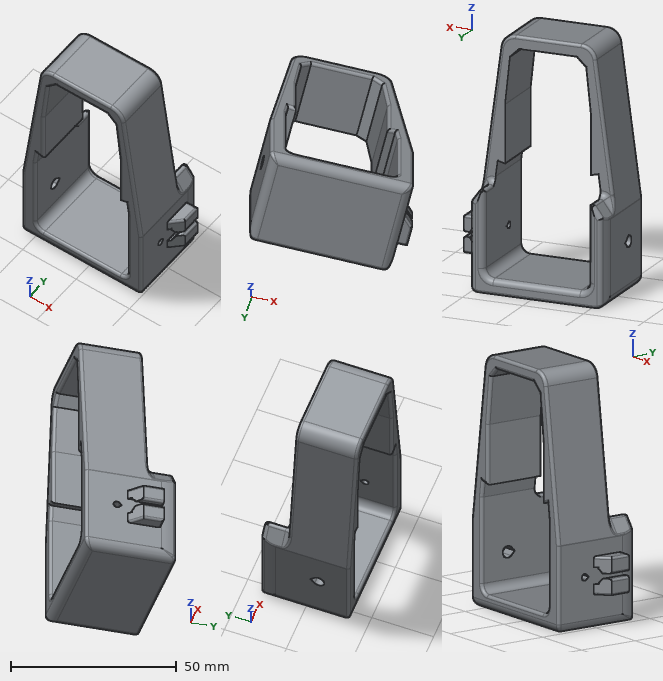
import cadquery as cq
import math

height = 80.2
overall_width = 48.5
depth = 28.9
arch_depth = 20.0
half_width = 22.3
wall = 5.0
rim_radius = 1.0
base_radius = 3.0
margin = 4.0
tolerance = 0.1

shoulder_z = 27.5
top_half_width = 15.15
top_corner_radius = 5.0
lean = (half_width - top_half_width) / (height - shoulder_z)

inner_half_width = half_width - wall
inner_shoulder_z = 34.8
catch_root_z = 39.8
catch_tip_z = 39.1
catch_half_width = 14.2
catch_top_z = 58.1
haunch_half_width = 12.6
haunch_z = 73.2
ceiling_half_width = 9.55
ceiling_z = 76.1

bevel_z = 27.9
bevel_rise = 6.7
ridge_radius = 1.0
bevel_angle = math.atan(bevel_rise / wall)
ridge_tangent = ridge_radius * math.tan(math.pi / 4 + bevel_angle / 2)
ridge_arc_z = bevel_z + bevel_rise - ridge_tangent
step_radius = 2.0
rear_corner_radius = 12.0
rear_corner_length = 5.0
rear_edge_radius = 1.6
rear_inner_radius = 1.9
bevel_rear_radius = 1.6

hole_y = 9.95
hole_z = 16.4
left_hole_radius = 1.85
right_hole_radius = 1.05

hook_reach = overall_width - 2 * half_width
hook_outer = 6.0
hook_neck = 2.65
hook_lip = 0.8
hook_neck_length = 0.8
hook_lip_start = 1.9
hook_front_y = 13.3
hook_rear_y = 23.65
hook_radius = 0.7


def mirrored(points):
    """Close a right-hand outline with its mirror image about X = 0."""
    return points + [(-x, z) for x, z in reversed(points)]


def prism_y(points, start, end):
    """Extrude an XZ outline from Y = start to Y = end."""
    return (
        cq.Workplane("XZ", origin=(0, start, 0))
        .polyline(points)
        .close()
        .extrude(start - end)
    )


def edges_where(body, test):
    """Select the edges whose bounding box and center pass a test."""
    return body.newObject([e for e in body.edges().vals() if test(e.BoundingBox(), e.Center())])


def inner_edges(body, face):
    """Select the edges around the holes in a face of a body."""
    wires = body.faces(face).val().innerWires()
    return body.newObject([edge for wire in wires for edge in wire.Edges()])


def plan_limit():
    """Plan outline with the curved rear corners."""
    angle = math.asin(rear_corner_length / rear_corner_radius)
    curve_y = depth - rear_corner_length
    middle_y = curve_y + rear_corner_radius * math.sin(angle / 2)
    middle_x = half_width - rear_corner_radius * (1 - math.cos(angle / 2))
    end_x = half_width - rear_corner_radius * (1 - math.cos(angle))
    return (
        cq.Workplane("XY")
        .moveTo(-half_width, 0)
        .lineTo(half_width, 0)
        .lineTo(half_width, curve_y)
        .threePointArc((middle_x, middle_y), (end_x, depth))
        .lineTo(-end_x, depth)
        .threePointArc((-middle_x, middle_y), (-half_width, curve_y))
        .close()
        .extrude(height)
        .edges("|Z and >Y")
        .fillet(rear_edge_radius)
    )


def outer_block():
    outline = mirrored([(half_width, 0), (half_width, shoulder_z), (top_half_width, height)])
    block = prism_y(outline, 0, depth).edges("|Y and >Z").fillet(top_corner_radius)
    block = block.faces("<Z").edges("<X or >X or <Y").fillet(base_radius)
    block = block.intersect(plan_limit())
    return block.faces("<Y").edges("not <Z").fillet(rim_radius)


def opening():
    root_half_width = inner_half_width - lean * (catch_root_z - inner_shoulder_z)
    outline = mirrored([
        (inner_half_width, wall),
        (inner_half_width, inner_shoulder_z),
        (root_half_width, catch_root_z),
        (catch_half_width, catch_tip_z),
        (catch_half_width, catch_top_z),
        (haunch_half_width, haunch_z),
        (ceiling_half_width, ceiling_z),
    ])
    return prism_y(outline, 0, depth).edges("|Y and <Z").fillet(base_radius)


def above_bevels(start, end):
    """Space above the planes of the two bevels, which meet at X = 0."""
    slope = math.tan(bevel_angle)
    reach = half_width + margin
    side = [(reach, bevel_z - slope * margin), (reach, height + margin)]
    peak = (0, bevel_z + slope * half_width)
    return prism_y(mirrored(side) + [peak], start, end)


def step_cut():
    """Space behind the arch and above the low rear walls, with rounded ridges on the walls."""
    center_x = inner_half_width + ridge_radius
    arc_start = (
        inner_half_width + ridge_tangent * math.cos(bevel_angle),
        bevel_z + bevel_rise - ridge_tangent * math.sin(bevel_angle),
    )
    middle = 3 * math.pi / 4 - bevel_angle / 2
    arc_middle = (
        center_x + ridge_radius * math.cos(middle),
        ridge_arc_z + ridge_radius * math.sin(middle),
    )
    bottom_z = ridge_arc_z - 2 * margin
    reach = half_width + margin
    right_half = (
        cq.Workplane("XZ", origin=(0, arch_depth, 0))
        .moveTo(0, height + margin)
        .lineTo(reach, height + margin)
        .lineTo(reach, bevel_z - margin * math.tan(bevel_angle))
        .lineTo(*arc_start)
        .threePointArc(arc_middle, (inner_half_width, ridge_arc_z))
        .lineTo(inner_half_width, bottom_z)
        .lineTo(0, bottom_z)
        .close()
        .extrude(-depth)
    )
    cut = right_half.union(right_half.mirror("YZ"))
    return cut.faces("<Y").edges().fillet(step_radius)


def is_rear_rim(box, center):
    """Rear outer edges: around the arch, down the step, and around the base."""
    on_arch = box.ymin > arch_depth - tolerance and box.ymax < arch_depth + tolerance
    if on_arch:
        return box.zmax > haunch_z
    if box.ymin < arch_depth - tolerance:
        return False
    on_side = abs(center.x) > half_width - wall / 3 and box.zmax < inner_shoulder_z
    return on_side or box.zmax < base_radius + tolerance


def flared(tool, radius):
    """Widen the rear end of a cutting tool so that it rounds the rim it cuts in the rear face."""
    size = 4 * height
    plate = cq.Workplane("XY").box(size, margin, size).translate((0, depth + margin / 2, 0))
    return inner_edges(tool.union(plate), "<Y[1]").fillet(radius)


def rear_opening():
    """Rear end of the opening, between the low walls."""
    outline = mirrored([(inner_half_width, wall), (inner_half_width, height)])
    return prism_y(outline, depth - margin, depth).edges("|Y and <Z").fillet(base_radius)


def ridge_end_cut():
    """Round the rear ends of both ridges as seen along X."""
    ridge_top = ridge_arc_z + ridge_radius
    radius = bevel_rear_radius
    center_y = depth - radius
    center_z = ridge_top - radius
    diagonal = radius / math.sqrt(2)
    return (
        cq.Workplane("YZ", origin=(-half_width, 0, 0))
        .moveTo(center_y, ridge_top)
        .threePointArc((center_y + diagonal, center_z + diagonal), (depth, center_z))
        .lineTo(depth + margin, center_z)
        .lineTo(depth + margin, ridge_top + margin)
        .lineTo(center_y, ridge_top + margin)
        .close()
        .extrude(2 * half_width)
    )


def teardrop_hole(radius, wall_x):
    """Hole through the side wall that starts at wall_x, with its point toward the rear."""
    corner = radius / math.sqrt(2)
    return (
        cq.Workplane("YZ", origin=(wall_x, 0, 0))
        .moveTo(hole_y + corner, hole_z + corner)
        .threePointArc((hole_y - radius, hole_z), (hole_y + corner, hole_z - corner))
        .lineTo(hole_y + 2 * corner, hole_z)
        .close()
        .extrude(wall)
    )


def upper_hook():
    """Hook above the holes; its front is cut back at 45 degrees."""
    tip_x = half_width + hook_reach
    hook = prism_y([
        (half_width, hole_z + hook_outer),
        (tip_x, hole_z + hook_outer),
        (tip_x, hole_z + hook_lip),
        (half_width + hook_lip_start, hole_z + hook_lip),
        (half_width + hook_neck_length, hole_z + hook_neck),
        (half_width, hole_z + hook_neck),
    ], hook_front_y, hook_rear_y)
    front_cut = (
        cq.Workplane("XY")
        .moveTo(half_width, hook_front_y)
        .lineTo(half_width + hook_reach, hook_front_y)
        .lineTo(half_width + hook_reach, hook_front_y + hook_reach)
        .close()
        .extrude(height)
    )
    hook = hook.cut(front_cut)
    outer_edges = hook.faces(">Z").edges("not <X")
    lip_edge = hook.faces(">X").edges("<Z")
    return hook.newObject(outer_edges.vals() + lip_edge.vals()).fillet(hook_radius)


frame = outer_block().cut(step_cut())
frame = edges_where(frame, is_rear_rim).fillet(rim_radius)

frame = inner_edges(frame.cut(opening()), "<Y").fillet(rim_radius)
frame = frame.cut(flared(rear_opening(), rear_inner_radius))
frame = frame.cut(flared(above_bevels(depth - margin, depth), bevel_rear_radius))
frame = frame.cut(ridge_end_cut())

frame = frame.cut(teardrop_hole(left_hole_radius, -half_width))
frame = frame.cut(teardrop_hole(right_hole_radius, inner_half_width))
hook = upper_hook()
lower_hook = hook.mirror("XY", (0, 0, hole_z))
result = frame.union(hook).union(lower_hook)